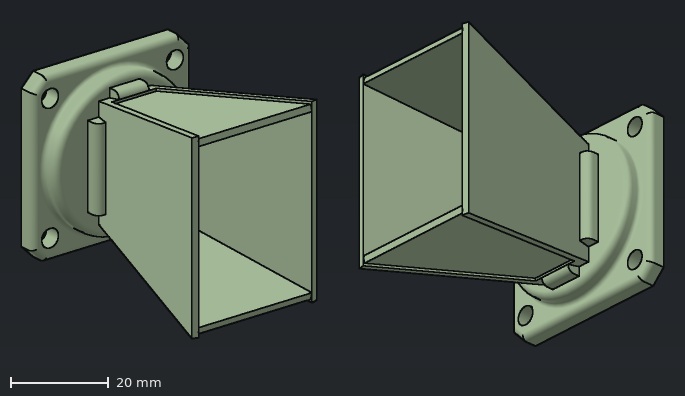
import math

import cadquery as cq

APERTURE_Y = 10.16
APERTURE_Z = 22.86

FLANGE_SIDE = 41.27
FLANGE_THICKNESS = 4.0
FLANGE_CORNER_CHAMFER = 3.1
FLANGE_EDGE_RADIUS = 1.5
BOLT_HOLE_DIAMETER = 4.32
BOLT_SPACING_Y = 32.5
BOLT_SPACING_Z = 31.0

BOSS_DIAMETER = 36.07
BOSS_FRONT = 8.0
BOSS_ROOT_RADIUS = 1.0
BOSS_EDGE_RADIUS = 1.6

PAD_FRONT = 11.1
PAD_EDGE_RADIUS = 1.6
SIDE_PAD_HALF_Y = 9.6
SIDE_PAD_LENGTH_Z = 20.4
END_PAD_HALF_Z = 15.9
END_PAD_LENGTH_Y = 7.8

HORN_MOUTH = 51.05
WALL_THICKNESS = 1.6
MOUTH_HALF_Y = 14.7
MOUTH_HALF_Z = 20.08
SIDE_WALL_HALF_Z = 22.35

THROAT = BOSS_FRONT
FLARE_LENGTH = HORN_MOUTH - THROAT
SLOPE_Y = (MOUTH_HALF_Y - APERTURE_Y / 2) / FLARE_LENGTH
SLOPE_Z = (MOUTH_HALF_Z - APERTURE_Z / 2) / FLARE_LENGTH
REACH = SIDE_WALL_HALF_Z + WALL_THICKNESS


def make_flange():
    flange = cq.Workplane("YZ").rect(FLANGE_SIDE, FLANGE_SIDE).extrude(FLANGE_THICKNESS)
    flange = flange.edges("|X").chamfer(FLANGE_CORNER_CHAMFER)
    flange = flange.faces(">X").edges().fillet(FLANGE_EDGE_RADIUS)
    holes = (
        cq.Workplane("YZ")
        .rect(BOLT_SPACING_Y, BOLT_SPACING_Z, forConstruction=True)
        .vertices()
        .circle(BOLT_HOLE_DIAMETER / 2)
        .extrude(FLANGE_THICKNESS)
    )
    return flange.cut(holes)


def make_boss():
    """Boss revolved about X, with a concave root and a rounded front edge."""
    radius = BOSS_DIAMETER / 2
    root_radius = radius + BOSS_ROOT_RADIUS
    root_end = FLANGE_THICKNESS + BOSS_ROOT_RADIUS
    return (
        cq.Workplane("XY")
        .lineTo(0, root_radius)
        .lineTo(FLANGE_THICKNESS, root_radius)
        .radiusArc((root_end, radius), -BOSS_ROOT_RADIUS)
        .lineTo(BOSS_FRONT - BOSS_EDGE_RADIUS, radius)
        .radiusArc((BOSS_FRONT, radius - BOSS_EDGE_RADIUS), BOSS_EDGE_RADIUS)
        .lineTo(BOSS_FRONT, 0)
        .close()
        .revolve(360, (0, 0, 0), (1, 0, 0))
    )


def make_pads():
    """Crossed blocks; each one carries a rounded pad on two opposite sides."""
    side_block = cq.Workplane("YZ").rect(2 * SIDE_PAD_HALF_Y, SIDE_PAD_LENGTH_Z).extrude(PAD_FRONT)
    side_block = side_block.faces(">X").edges("|Z").fillet(PAD_EDGE_RADIUS)
    end_block = cq.Workplane("YZ").rect(END_PAD_LENGTH_Y, 2 * END_PAD_HALF_Z).extrude(PAD_FRONT)
    end_block = end_block.faces(">X").edges("|Y").fillet(PAD_EDGE_RADIUS)
    return side_block.union(end_block)


def tapered_envelope(plane, mouth_half, slope, half_depth):
    """Block whose outline narrows from the mouth back to the throat."""
    throat_half = mouth_half - slope * FLARE_LENGTH
    outline = [
        (THROAT, -throat_half),
        (HORN_MOUTH, -mouth_half),
        (HORN_MOUTH, mouth_half),
        (THROAT, throat_half),
    ]
    return cq.Workplane(plane).polyline(outline).close().extrude(half_depth, both=True)


def tapered_block(mouth_half_z):
    """Solid pyramid stretch from throat to mouth, lying between the side walls."""
    return tapered_envelope("XZ", mouth_half_z, SLOPE_Z, REACH).intersect(
        tapered_envelope("XY", MOUTH_HALF_Y, SLOPE_Y, REACH)
    )


def make_throat_block():
    """Tapered collar filling the space between the side walls, flush with their top and bottom edges."""
    length_limit = cq.Workplane("YZ").rect(2 * REACH, 2 * REACH).extrude(PAD_FRONT)
    return tapered_block(SIDE_WALL_HALF_Z).intersect(length_limit)


def make_bore():
    """Straight aperture up to the throat, then the flare out to the mouth."""
    straight = cq.Workplane("YZ").rect(APERTURE_Y, APERTURE_Z).extrude(THROAT)
    return straight.union(tapered_block(MOUTH_HALF_Z))


def sloped_wall(plane, throat_half, mouth_half, slope, half_width):
    """Flat wall of even thickness, cut square to its slope at the mouth and flush at the throat."""
    angle = math.atan(slope)
    outer_offset = WALL_THICKNESS / math.cos(angle)
    mouth_outer = (
        HORN_MOUTH - WALL_THICKNESS * math.sin(angle),
        mouth_half + WALL_THICKNESS * math.cos(angle),
    )
    return (
        cq.Workplane(plane)
        .moveTo(THROAT, throat_half)
        .lineTo(HORN_MOUTH, mouth_half)
        .lineTo(*mouth_outer)
        .lineTo(THROAT, throat_half + outer_offset)
        .close()
        .extrude(half_width, both=True)
    )


def make_horn():
    side_wall = sloped_wall("XY", APERTURE_Y / 2, MOUTH_HALF_Y, SLOPE_Y, REACH)
    side_wall = side_wall.intersect(tapered_envelope("XZ", SIDE_WALL_HALF_Z, SLOPE_Z, REACH))
    end_wall = sloped_wall("XZ", APERTURE_Z / 2, MOUTH_HALF_Z, SLOPE_Z, REACH)
    end_wall = end_wall.intersect(tapered_envelope("XY", MOUTH_HALF_Y, SLOPE_Y, REACH))
    horn = side_wall.union(side_wall.mirror("XZ"))
    return horn.union(end_wall).union(end_wall.mirror("XY"))


base = make_flange().union(make_boss()).union(make_throat_block()).union(make_pads())
result = base.cut(make_bore()).union(make_horn())